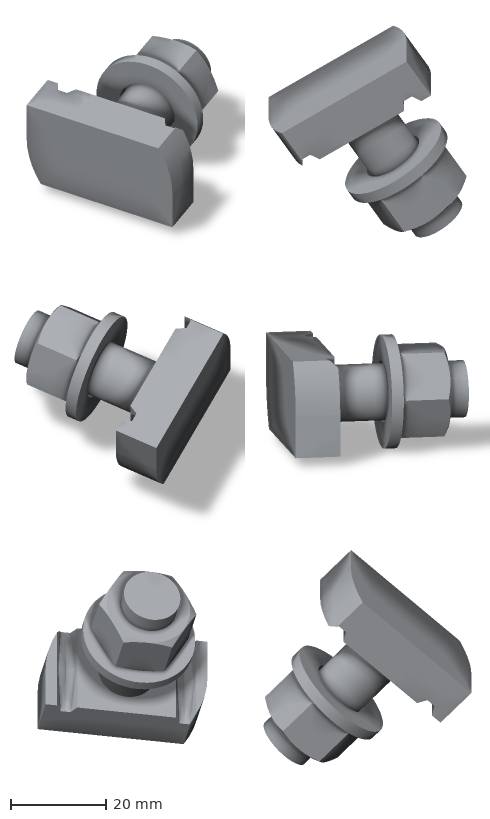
import cadquery as cq
import math

STUD_LENGTH = 39.0
STUD_RADIUS = 6.0
END_RING_RADIUS = 5.1

HEAD_WIDTH = 34.5
HEAD_HEIGHT = 20.0
HEAD_THICKNESS = 9.5
HEAD_CORNER_RADIUS = HEAD_HEIGHT
CORNER_START_Z = 1.1

NOTCH_OFFSET = 12.68
NOTCH_TOP_WIDTH = 4.3
NOTCH_FLOOR_WIDTH = 2.05
NOTCH_DEPTH = 2.0
NOTCH_VEE_DEPTH = 1.52
NOTCH_WALL_DEPTH = 0.65

WASHER_RADIUS = 11.97
WASHER_HOLE_RADIUS = 6.5
WASHER_THICKNESS = 2.5
WASHER_START = 21.53

NUT_ACROSS_FLATS = 18.0
NUT_HEIGHT = 10.72
NUT_START = WASHER_START + WASHER_THICKNESS
NUT_FACE_RADIUS = 8.9
NUT_CHAMFER_ANGLE = 30.0


def cylinder_along_y(radius, start, length):
    return cq.Workplane("XZ", origin=(0, start, 0)).circle(radius).extrude(-length)


def head_plate():
    """Plate with two diagonally opposite corners rounded to pass a slot."""
    half_width = HEAD_WIDTH / 2
    half_height = HEAD_HEIGHT / 2
    arc_centre = half_width - HEAD_CORNER_RADIUS

    def arc_point(z):
        rise = z + CORNER_START_Z
        return arc_centre + math.sqrt(HEAD_CORNER_RADIUS**2 - rise**2), z

    arc_end = arc_point(half_height)
    arc_middle = arc_point((half_height - CORNER_START_Z) / 2)
    return (
        cq.Workplane("XZ")
        .moveTo(-half_width, half_height)
        .lineTo(*arc_end)
        .threePointArc(arc_middle, (half_width, -CORNER_START_Z))
        .lineTo(half_width, -half_height)
        .lineTo(-arc_end[0], -half_height)
        .threePointArc((-arc_middle[0], -arc_middle[1]), (-half_width, CORNER_START_Z))
        .close()
        .extrude(-HEAD_THICKNESS)
    )


def notch_section(centre_x, z, floor_width, edge_depth, centre_depth):
    """Cross-section of a notch, with its floor given at both walls and in the middle."""
    offsets_and_depths = [
        (-NOTCH_TOP_WIDTH / 2, 0),
        (-floor_width / 2, edge_depth),
        (0, centre_depth),
        (floor_width / 2, edge_depth),
        (NOTCH_TOP_WIDTH / 2, 0),
    ]
    points = [cq.Vector(centre_x + x, HEAD_THICKNESS - depth, z) for x, depth in offsets_and_depths]
    return cq.Wire.makePolygon(points, close=True)


def notch_half(centre_x, side):
    """Half of a notch, from its flat floor at one edge to its V-shaped floor at mid height."""
    wall_run = (NOTCH_TOP_WIDTH - NOTCH_FLOOR_WIDTH) * NOTCH_WALL_DEPTH / NOTCH_DEPTH
    vee_width = NOTCH_TOP_WIDTH - wall_run
    edge = notch_section(centre_x, side * HEAD_HEIGHT / 2, NOTCH_FLOOR_WIDTH, NOTCH_DEPTH, NOTCH_DEPTH)
    middle = notch_section(centre_x, 0, vee_width, NOTCH_WALL_DEPTH, NOTCH_VEE_DEPTH)
    return cq.Workplane(cq.Solid.makeLoft([edge, middle], ruled=True))


def make_head():
    head = head_plate().cut(cylinder_along_y(STUD_RADIUS, 0, HEAD_THICKNESS))
    for centre_x in (-NOTCH_OFFSET, NOTCH_OFFSET):
        for side in (-1, 1):
            head = head.cut(notch_half(centre_x, side))
    return head


def make_stud():
    """Plain round stud whose outer end is a flat disc within a flush ring."""
    return (
        cq.Workplane("XY")
        .polyline([
            (0, 0),
            (END_RING_RADIUS, 0),
            (STUD_RADIUS, 0),
            (STUD_RADIUS, STUD_LENGTH),
            (0, STUD_LENGTH),
        ])
        .close()
        .revolve(360, (0, 0, 0), (0, 1, 0), clean=False)
    )


def make_washer():
    disc = cylinder_along_y(WASHER_RADIUS, WASHER_START, WASHER_THICKNESS)
    return disc.cut(cylinder_along_y(WASHER_HOLE_RADIUS, WASHER_START, WASHER_THICKNESS))


def make_nut():
    """Hexagon with corners along X, chamfered conically at both ends."""
    corner_radius = NUT_ACROSS_FLATS / 2 / math.cos(math.pi / 6)
    nut_end = NUT_START + NUT_HEIGHT
    hexagon = cq.Workplane("XZ", origin=(0, NUT_START, 0)).polygon(6, 2 * corner_radius).extrude(-NUT_HEIGHT)
    chamfer = (corner_radius - NUT_FACE_RADIUS) * math.tan(math.radians(NUT_CHAMFER_ANGLE))
    envelope = (
        cq.Workplane("XY")
        .polyline([
            (0, NUT_START),
            (NUT_FACE_RADIUS, NUT_START),
            (corner_radius, NUT_START + chamfer),
            (corner_radius, nut_end - chamfer),
            (NUT_FACE_RADIUS, nut_end),
            (0, nut_end),
        ])
        .close()
        .revolve(360, (0, 0, 0), (0, 1, 0))
    )
    return hexagon.intersect(envelope).cut(cylinder_along_y(STUD_RADIUS, NUT_START, NUT_HEIGHT))


head = make_head()
stud = make_stud()
washer = make_washer()
nut = make_nut()

bodies = [head, stud, washer, nut]
result = cq.Compound.makeCompound([body.solids().val() for body in bodies])